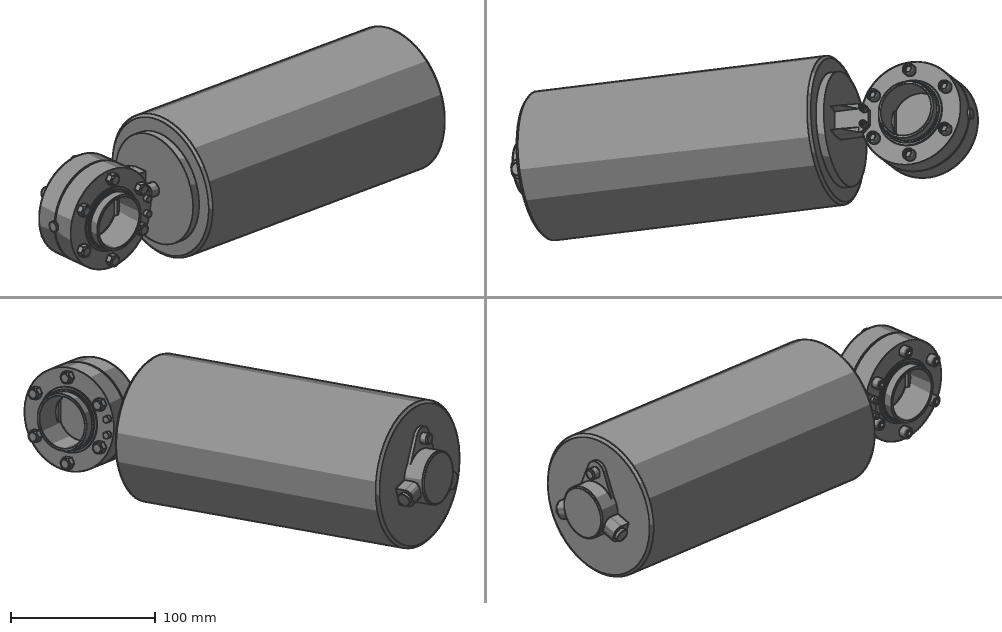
import cadquery as cq
import math


BODY_RADIUS = 37.0
HALF_WIDTH = 16.5
HALF_GAP = 1.0
PIPE_END = 25.0
PIPE_RADIUS = 20.5
BORE_RADIUS = 18.7
COLLAR_STEP_RADII = (23.5, 21.8)
COLLAR_STEP_HEIGHT = 1.0

BOLT_COUNT = 6
BOLT_CIRCLE_RADIUS = 30.8
HEAD_RADIUS = 4.0
HEAD_HEIGHT = 5.5
HEAD_ROUND_RATIO = 0.2
SOCKET_RATIO = 0.7
SOCKET_DEPTH = 2.7
NUT_CORNERS = 9.0
NUT_HEIGHT = 5.5
NUT_CHAMFER = 1.5

DISC_THICKNESS = 2.7
HUB_RADIUS = 8.0
HUB_FACE = 16.7
HUB_HALF_DEPTH = 4.7
JOURNAL_RADIUS = 3.7
STEM_RADIUS = 5.0
STEM_TIP = -38.8
STEM_JOINT = 47.5
STEM_CHAMFER = 1.0

LENGTH = 334.5
ACTUATOR_RADIUS = 104.0 / 2
ACTUATOR_CHAMFER = 2.0
PLATE_RADIUS = 40.0
PLATE_THICKNESS = 5.7
CAP_RADIUS = 19.0
CAP_HEIGHT = 15.7
CAP_CHAMFER = 1.0
BARREL_LENGTH = 219.2
CAP_TOP = LENGTH + STEM_TIP
BARREL_BACK = CAP_TOP - CAP_HEIGHT
BARREL_FRONT = BARREL_BACK - BARREL_LENGTH
PLATE_FACE = BARREL_FRONT - PLATE_THICKNESS

BUTTON_Z = 26.8
BUTTON_RADIUS = 4.0
BUTTON_HEIGHT = 8.7
BUTTON_CHAMFER = 1.0
LUG_RADIUS = 8.0
LUG_HEIGHT = 2.7
LUG_SIDE_ANGLE = 23.0
LUG_BASE_Z = 10.0

PORT_ANGLE = 19.0
PORT_HALF_WIDTH = 6.7
PORT_TOP = BARREL_BACK + 12.7
PORT_ROUND = 5.5
PORT_LENGTH = 29.0
NOZZLE_Y = BARREL_BACK + 6.7
NOZZLE_RADIUS = 4.7
NOZZLE_END = 31.8

BRACKET_HALF_HEIGHT = 10.5
BRACKET_INNER_X = -8.7
WEB_THICKNESS = 3.5
WEB_FACE = -HALF_WIDTH - WEB_THICKNESS
WEB_END = 30.0
WEB_CORNER = 5.0
GUSSET_TIP_X = -26.8
GUSSET_BASE_INNER_Z = 6.7
GUSSET_STRAIGHT = 6.7
GUSSET_END = 37.0
BRACKET_BOLT_Y = 32.8
BRACKET_BOLT_Z = 5.7
BRACKET_BOLT_RADIUS = 2.5
BRACKET_HEAD_HEIGHT = 4.7
BRACKET_NUT_HEIGHT = 3.5


def x_cylinder(radius, x_start, x_end, y=0, z=0):
    """Cylinder along X."""
    return cq.Workplane("YZ", origin=(x_start, y, z)).circle(radius).extrude(x_end - x_start)


def y_cylinder(radius, y_start, y_end, z=0):
    """Cylinder along Y."""
    return cq.Workplane("XZ", origin=(0, y_start, z)).circle(radius).extrude(y_start - y_end)


def on_flange(part):
    """Six copies of a part modelled on the X axis, moved onto the bolt circle."""
    copies = cq.Workplane("YZ")
    for i in range(BOLT_COUNT):
        angle = 2 * math.pi * (i + 0.5) / BOLT_COUNT
        y = BOLT_CIRCLE_RADIUS * math.cos(angle)
        z = BOLT_CIRCLE_RADIUS * math.sin(angle)
        copies = copies.add(part.translate((0, y, z)))
    return copies


def bolt_head(radius, height, face_x):
    """Round socket head standing on a face that looks toward -X."""
    end = face_x - height
    head = x_cylinder(radius, end, face_x).faces("<X").edges().fillet(HEAD_ROUND_RATIO * radius)
    socket_corners = 2 * SOCKET_RATIO * radius
    socket = cq.Workplane("YZ", origin=(end, 0, 0)).polygon(6, socket_corners).extrude(SOCKET_DEPTH)
    return head.cut(socket)


def hex_bar(corners, chamfer, x_start, x_end):
    """Hexagonal bar along X whose far corners are turned off by a cone."""
    bar = cq.Workplane("YZ", origin=(x_start, 0, 0)).polygon(6, corners).extrude(x_end - x_start)
    turned = x_cylinder(corners / 2, x_start, x_end).faces(">X").edges().chamfer(chamfer)
    return bar.intersect(turned)


def flange_half(side):
    """One half of the valve body with its pipe stub; side is -1 or +1 along X."""
    half = x_cylinder(BODY_RADIUS, side * HALF_GAP / 2, side * HALF_WIDTH)
    half = half.union(x_cylinder(PIPE_RADIUS, side * HALF_WIDTH, side * PIPE_END))
    step_x = HALF_WIDTH
    for radius in COLLAR_STEP_RADII:
        step_x += COLLAR_STEP_HEIGHT
        half = half.union(x_cylinder(radius, side * HALF_WIDTH, side * step_x))
    half = half.cut(x_cylinder(BORE_RADIUS, 0, side * PIPE_END))
    return half.cut(y_cylinder(JOURNAL_RADIUS, -BODY_RADIUS, BODY_RADIUS))


def head_half():
    """Flange half carrying the bolt heads."""
    half = flange_half(-1)
    for head in on_flange(bolt_head(HEAD_RADIUS, HEAD_HEIGHT, -HALF_WIDTH)).vals():
        half = half.union(cq.Workplane(head))
    return half


def nut_half():
    """Flange half carrying the flange nuts and the nuts of the bracket bolts."""
    half = flange_half(1)
    nut_end = HALF_WIDTH + NUT_HEIGHT
    for nut in on_flange(hex_bar(NUT_CORNERS, NUT_CHAMFER, HALF_WIDTH, nut_end)).vals():
        half = half.union(cq.Workplane(nut))
    small_nut_end = HALF_WIDTH + BRACKET_NUT_HEIGHT
    for z in (-BRACKET_BOLT_Z, BRACKET_BOLT_Z):
        half = half.union(x_cylinder(BRACKET_BOLT_RADIUS, HALF_WIDTH, small_nut_end, BRACKET_BOLT_Y, z))
    return half


def disc_and_stem():
    """Closed disc with two hubs on the stem that turns it."""
    disc = x_cylinder(BORE_RADIUS, -DISC_THICKNESS / 2, DISC_THICKNESS / 2)
    hubs = y_cylinder(HUB_RADIUS, -BORE_RADIUS, -HUB_FACE)
    hubs = hubs.union(y_cylinder(HUB_RADIUS, HUB_FACE, BORE_RADIUS))
    hubs = hubs.intersect(x_cylinder(BORE_RADIUS, -HUB_HALF_DEPTH, HUB_HALF_DEPTH))
    lower_journal = y_cylinder(JOURNAL_RADIUS, STEM_TIP, -HUB_FACE)
    upper_journal = y_cylinder(JOURNAL_RADIUS, HUB_FACE, BODY_RADIUS)
    drive = y_cylinder(STEM_RADIUS, BODY_RADIUS, STEM_JOINT).faces(">Y").edges().chamfer(STEM_CHAMFER)
    return disc.union(hubs).union(lower_journal).union(upper_journal).union(drive)


def button_lug():
    """Flat lug with straight sides tangent to its round end, and the button on it."""
    slope = math.radians(LUG_SIDE_ANGLE)
    tangent_x = LUG_RADIUS * math.cos(slope)
    tangent_z = BUTTON_Z + LUG_RADIUS * math.sin(slope)
    base_x = tangent_x + (tangent_z - LUG_BASE_Z) * math.tan(slope)
    lug = (
        cq.Workplane("XZ", origin=(0, BARREL_BACK, 0))
        .moveTo(-base_x, LUG_BASE_Z)
        .lineTo(-tangent_x, tangent_z)
        .threePointArc((0, BUTTON_Z + LUG_RADIUS), (tangent_x, tangent_z))
        .lineTo(base_x, LUG_BASE_Z)
        .close()
        .extrude(-LUG_HEIGHT)
    )
    button = y_cylinder(BUTTON_RADIUS, BARREL_BACK, BARREL_BACK + BUTTON_HEIGHT, z=BUTTON_Z)
    return lug.union(button.faces(">Y").edges().chamfer(BUTTON_CHAMFER))


def air_port():
    """Port with a round nozzle, pointing out of the cap and down on the +X side."""
    depth = PORT_TOP - BARREL_BACK
    block = (
        cq.Workplane("XY")
        .box(PORT_LENGTH, depth, 2 * PORT_HALF_WIDTH, centered=(False, False, True))
        .translate((0, BARREL_BACK, 0))
        .faces(">Y")
        .edges("|X")
        .fillet(PORT_ROUND)
    )
    port = block.union(x_cylinder(NOZZLE_RADIUS, PORT_LENGTH, NOZZLE_END, NOZZLE_Y))
    return port.rotate((0, 0, 0), (0, 1, 0), PORT_ANGLE)


def actuator():
    """Barrel with its front plate, upper stem, rear cap, ports and button."""
    barrel = y_cylinder(ACTUATOR_RADIUS, BARREL_FRONT, BARREL_BACK).edges().chamfer(ACTUATOR_CHAMFER)
    plate = y_cylinder(PLATE_RADIUS, PLATE_FACE, BARREL_FRONT)
    stem = y_cylinder(STEM_RADIUS, STEM_JOINT, PLATE_FACE).faces("<Y").edges().chamfer(STEM_CHAMFER)
    cap = y_cylinder(CAP_RADIUS, BARREL_BACK, CAP_TOP).faces(">Y").edges().chamfer(CAP_CHAMFER)
    port = air_port()
    body = barrel.union(plate).union(stem).union(cap).union(button_lug())
    return body.union(port).union(port.mirror("YZ"))


def gusset():
    """Wedge-shaped gusset on the upper edge of the web, with a slanted end."""
    tip_z = (GUSSET_BASE_INNER_Z + BRACKET_HALF_HEIGHT) / 2
    wedge = (
        cq.Workplane("XZ", origin=(0, PLATE_FACE, 0))
        .moveTo(WEB_FACE, GUSSET_BASE_INNER_Z)
        .lineTo(GUSSET_TIP_X, tip_z)
        .lineTo(WEB_FACE, BRACKET_HALF_HEIGHT)
        .close()
        .extrude(PLATE_FACE - GUSSET_END)
    )
    side = (
        cq.Workplane("XY")
        .moveTo(WEB_FACE, PLATE_FACE)
        .lineTo(GUSSET_TIP_X, PLATE_FACE)
        .lineTo(GUSSET_TIP_X, PLATE_FACE - GUSSET_STRAIGHT)
        .lineTo(WEB_FACE, GUSSET_END)
        .close()
        .extrude(BRACKET_HALF_HEIGHT)
    )
    return wedge.intersect(side)


def bracket():
    """Web bolted to the flange face, with a block against the flange rim and two gussets."""
    height = 2 * BRACKET_HALF_HEIGHT
    web = (
        cq.Workplane("XY")
        .box(WEB_THICKNESS, PLATE_FACE - WEB_END, height, centered=(False, False, True))
        .translate((WEB_FACE, WEB_END, 0))
        .faces("<Y")
        .edges("|X")
        .chamfer(WEB_CORNER)
    )
    block = (
        cq.Workplane("XY")
        .box(BRACKET_INNER_X + HALF_WIDTH, PLATE_FACE - WEB_END, height, centered=(False, False, True))
        .translate((-HALF_WIDTH, WEB_END, 0))
        .cut(x_cylinder(BODY_RADIUS, -HALF_WIDTH, 0))
    )
    upper = gusset()
    part = web.union(block).union(upper).union(upper.mirror("XY"))
    head = bolt_head(BRACKET_BOLT_RADIUS, BRACKET_HEAD_HEIGHT, WEB_FACE)
    for z in (-BRACKET_BOLT_Z, BRACKET_BOLT_Z):
        part = part.union(head.translate((0, BRACKET_BOLT_Y, z)))
    return part


result = cq.Compound.makeCompound([
    actuator().val(),
    bracket().val(),
    head_half().val(),
    nut_half().val(),
    disc_and_stem().val(),
])